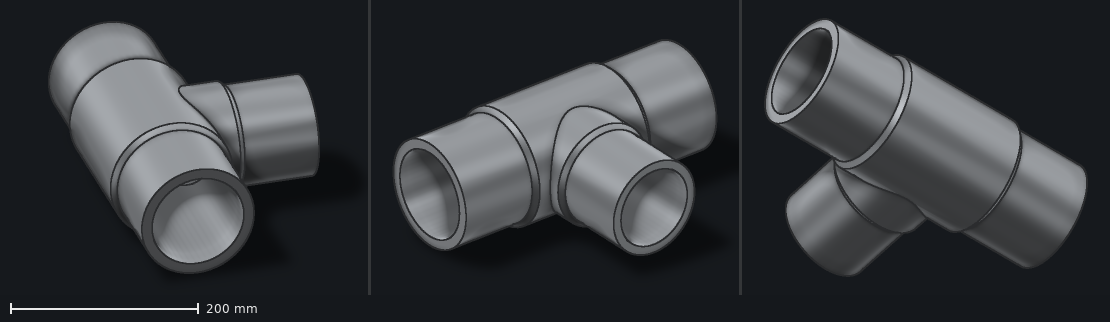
import cadquery as cq

run_length = 340.0
run_diameter = 125.0
run_bore = 102.5
sleeve_length = 160.8
sleeve_diameter = 136.5

branch_reach = 170.17
branch_diameter = 110.0
branch_bore = branch_diameter * run_bore / run_diameter
collar_reach = 87.5
collar_diameter = 120.5

bevel_length = 6.0


def run_cylinder(diameter, length):
    """Cylinder along X, centred on the origin."""
    return cq.Workplane("YZ").circle(diameter / 2).extrude(length / 2, both=True)


def branch_cylinder(diameter, reach):
    """Cylinder from the run axis out to the given +Y position."""
    return cq.Workplane("XZ").circle(diameter / 2).extrude(-reach)


def bevel(cylinder, rims, large_diameter, small_diameter):
    """Taper the chosen rims down to the diameter of the adjoining pipe."""
    bevel_height = (large_diameter - small_diameter) / 2
    rim_faces = cylinder.faces(rims)
    return rim_faces.edges().chamfer(bevel_length, bevel_height)


run_pipe = run_cylinder(run_diameter, run_length)
sleeve = bevel(run_cylinder(sleeve_diameter, sleeve_length), "|X", sleeve_diameter, run_diameter)
branch_pipe = branch_cylinder(branch_diameter, branch_reach)
collar = bevel(branch_cylinder(collar_diameter, collar_reach), ">Y", collar_diameter, branch_diameter)
tee = run_pipe.union(sleeve).union(branch_pipe).union(collar)

tee = tee.cut(run_cylinder(run_bore, run_length))
result = tee.cut(branch_cylinder(branch_bore, branch_reach))